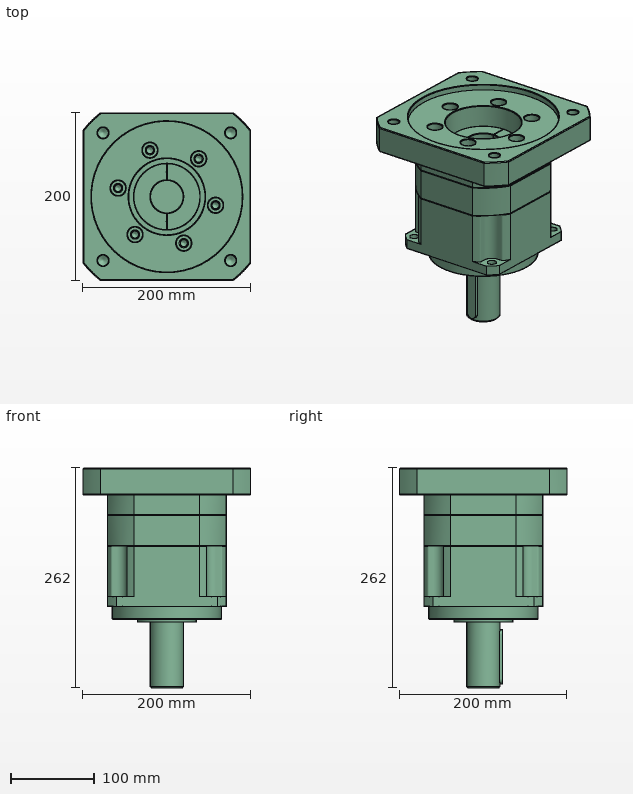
import cadquery as cq
import math

TOTAL_HEIGHT = 262.0
PLATE_THICKNESS = 32.0
PLATE_BOTTOM = TOTAL_HEIGHT - PLATE_THICKNESS
UPPER_JOINT = 206.5
LOWER_JOINT = 169.5
LEDGE_TOP = 109.0
FLANGE_BOTTOM = 97.5
PILOT_BOTTOM = 82.0
SEAL_BOTTOM = 78.5

PLATE_SIDE = 200.0
PLATE_CORNER_DIAMETER = 255.0
PLATE_CHAMFER = 1.0
RECESS_DIAMETER = 179.7
RECESS_DEPTH = 7.0
RECESS_FLOOR = TOTAL_HEIGHT - RECESS_DEPTH
RIM_CHAMFER = 0.8
MOTOR_BOLT_CIRCLE = 215.0
MOTOR_HOLE_DIAMETER = 12.8
MOTOR_HOLE_DEPTH = 23.5

SCREW_COUNT = 6
SCREW_START_ANGLE = 50.0
SCREW_CIRCLE = 118.0
SCREW_CLEARANCE = 11.0
SCREW_HEAD_DIAMETER = 17.8
SCREW_HEAD_DEPTH = 13.5
SCREW_TAP_DIAMETER = 8.5
SCREW_TAP_DEPTH = 15.7
DRILL_TIP_ANGLE = 118.0

BODY_SIDE = 142.0
BODY_CORNER_DIAMETER = 162.0
JOINT_CHAMFER = 0.5
CAVITY_DIAMETER = 91.0

FLANGE_CORNER_DIAMETER = 186.0
MOUNT_BOLT_CIRCLE = 165.5
MOUNT_HOLE_DIAMETER = 11.0
RELIEF_RADIUS = 11.3
RELIEF_EDGE_RADIUS = 2.4
PILOT_DIAMETER = 130.5
PILOT_CHAMFER = 0.8
SEAL_DIAMETER = 70.5

ACCESS_OFFSET = 31.5
ACCESS_HEIGHT = 221.0
ACCESS_DIAMETER = 9.0
ACCESS_CHAMFER = 1.5

HUB_COLLAR_DIAMETER = 79.6
HUB_COLLAR_THICKNESS = 4.7
HUB_BODY_DIAMETER = 58.7
HUB_TOP = 231.0
HUB_BORE_DIAMETER = 38.8
HUB_BASE_THICKNESS = 5.2
HUB_CHAMFER = 0.5
SLIT_WIDTH = 1.0
SLIT_DEPTH = 47.2

SHAFT_DIAMETER = 40.0
SHAFT_CHAMFER = 2.0
KEY_WIDTH = 12.0
KEY_BOTTOM = 4.7
KEY_LENGTH = 65.0
KEY_TOP_OFFSET = 23.0


def cylinder(diameter, bottom, top):
    """Upright cylinder on the Z axis."""
    return cq.Workplane("XY").workplane(offset=bottom).circle(diameter / 2).extrude(top - bottom)


def rounded_square(side, corner_diameter, bottom, top):
    """Square prism whose corners are turned to a common diameter."""
    square = cq.Workplane("XY").workplane(offset=bottom).rect(side, side).extrude(top - bottom)
    return square.intersect(cylinder(corner_diameter, bottom, top))


def corner_points(bolt_circle):
    """Four points on the diagonals of the square."""
    offset = bolt_circle / 2 * math.cos(math.radians(45))
    return [(x * offset, y * offset) for x in (-1, 1) for y in (-1, 1)]


def screw_points():
    """Evenly spaced points of the adapter screws."""
    angles = [math.radians(SCREW_START_ANGLE + i * 360 / SCREW_COUNT) for i in range(SCREW_COUNT)]
    return [(SCREW_CIRCLE / 2 * math.cos(a), SCREW_CIRCLE / 2 * math.sin(a)) for a in angles]


def cylinders_at(points, diameter, bottom, top):
    """Upright cylinders at several points."""
    base = cq.Workplane("XY").workplane(offset=bottom).pushPoints(points)
    return base.circle(diameter / 2).extrude(top - bottom)


def cones_at(points, bottom_diameter, top_diameter, bottom, top):
    """Upright cones at several points."""
    cone = cq.Solid.makeCone(bottom_diameter / 2, top_diameter / 2, top - bottom)
    return cq.Workplane("XY").newObject([cone.translate(cq.Vector(x, y, bottom)) for x, y in points])


def cut_rims(body, points, diameter, top):
    """Break the upper rims of round holes."""
    cones = cones_at(points, diameter, diameter + 2 * RIM_CHAMFER, top - RIM_CHAMFER, top)
    return cut_all(body, cones)


def cut_blind_holes(body, points, diameter, top, depth):
    """Drill blind holes that end in a conical drill tip."""
    bottom = top - depth
    tip_height = diameter / 2 / math.tan(math.radians(DRILL_TIP_ANGLE / 2))
    body = body.cut(cylinders_at(points, diameter, bottom, top))
    return cut_all(body, cones_at(points, 0, diameter, bottom - tip_height, bottom))


def cut_all(body, tools):
    """Remove every solid of a workplane from the body."""
    for tool in tools.vals():
        body = body.cut(cq.Workplane(tool))
    return body


def body_length(bottom, top):
    """One length of the square body."""
    return rounded_square(BODY_SIDE, BODY_CORNER_DIAMETER, bottom, top)


def make_access_drill():
    """Tool for the hole in the -X side that reaches the hub cavity, with a chamfered mouth."""
    face = cq.Workplane("YZ").workplane(offset=-BODY_SIDE / 2).center(ACCESS_OFFSET, ACCESS_HEIGHT)
    drill = face.circle(ACCESS_DIAMETER / 2).extrude(BODY_SIDE / 2)
    mouth = cq.Solid.makeCone(
        ACCESS_DIAMETER / 2 + ACCESS_CHAMFER,
        ACCESS_DIAMETER / 2,
        ACCESS_CHAMFER,
        cq.Vector(-BODY_SIDE / 2, ACCESS_OFFSET, ACCESS_HEIGHT),
        cq.Vector(1, 0, 0),
    )
    return drill.union(cq.Workplane(mouth))


def make_adapter():
    """Square plate and neck with the motor recess, hub cavity, bolt holes and access hole."""
    axis = [(0, 0)]
    motor_points = corner_points(MOTOR_BOLT_CIRCLE)
    head_seat = RECESS_FLOOR - SCREW_HEAD_DEPTH
    plate = rounded_square(PLATE_SIDE, PLATE_CORNER_DIAMETER, PLATE_BOTTOM, TOTAL_HEIGHT)
    plate = plate.faces("<Z or >Z").chamfer(PLATE_CHAMFER)
    neck = body_length(UPPER_JOINT, PLATE_BOTTOM).faces("<Z").chamfer(JOINT_CHAMFER)
    adapter = plate.union(neck)
    adapter = adapter.cut(cylinder(RECESS_DIAMETER, RECESS_FLOOR, TOTAL_HEIGHT))
    adapter = cut_rims(adapter, axis, RECESS_DIAMETER, TOTAL_HEIGHT)
    adapter = adapter.cut(cylinder(CAVITY_DIAMETER, UPPER_JOINT, RECESS_FLOOR))
    adapter = cut_rims(adapter, axis, CAVITY_DIAMETER, RECESS_FLOOR)
    adapter = cut_blind_holes(adapter, motor_points, MOTOR_HOLE_DIAMETER, TOTAL_HEIGHT, MOTOR_HOLE_DEPTH)
    adapter = cut_rims(adapter, motor_points, MOTOR_HOLE_DIAMETER, TOTAL_HEIGHT)
    adapter = adapter.cut(cylinders_at(screw_points(), SCREW_CLEARANCE, UPPER_JOINT, RECESS_FLOOR))
    adapter = adapter.cut(cylinders_at(screw_points(), SCREW_HEAD_DIAMETER, head_seat, RECESS_FLOOR))
    adapter = cut_rims(adapter, screw_points(), SCREW_HEAD_DIAMETER, RECESS_FLOOR)
    return adapter.cut(make_access_drill())


def make_ring_gear():
    """Square outer ring between adapter and output housing, with tapped holes for the screws."""
    ring = body_length(LOWER_JOINT, UPPER_JOINT).faces("<Z or >Z").chamfer(JOINT_CHAMFER)
    ring = ring.cut(cylinder(CAVITY_DIAMETER, LOWER_JOINT, UPPER_JOINT))
    return cut_blind_holes(ring, screw_points(), SCREW_TAP_DIAMETER, UPPER_JOINT, SCREW_TAP_DEPTH)


def make_relieved_length():
    """Upper length of the output housing, cut back at each corner to clear a mounting bolt."""
    wall = MOUNT_BOLT_CIRCLE / 2 * math.cos(math.radians(45)) - RELIEF_RADIUS
    wall_end = math.sqrt((BODY_CORNER_DIAMETER / 2) ** 2 - wall**2)
    length = body_length(LEDGE_TOP, LOWER_JOINT)
    for x, y in [(-1, -1), (-1, 1), (1, -1), (1, 1)]:
        middle = (LEDGE_TOP + LOWER_JOINT) / 2
        relief = (
            cq.Workplane("XY")
            .workplane(offset=LEDGE_TOP)
            .center(x * (wall + BODY_SIDE / 2), y * (wall + BODY_SIDE / 2))
            .rect(BODY_SIDE, BODY_SIDE)
            .extrude(LOWER_JOINT - LEDGE_TOP)
        )
        inner_edge = cq.selectors.NearestToPointSelector((x * wall, y * wall, middle))
        length = length.cut(relief.edges("|Z").edges(inner_edge).fillet(RELIEF_RADIUS))
        for edge_x, edge_y in [(wall, wall_end), (wall_end, wall)]:
            outer_edge = cq.selectors.NearestToPointSelector((x * edge_x, y * edge_y, middle))
            length = length.edges("|Z").edges(outer_edge).fillet(RELIEF_EDGE_RADIUS)
    chamfered = body_length(LEDGE_TOP, LOWER_JOINT).faces(">Z").chamfer(JOINT_CHAMFER)
    return length.intersect(chamfered)


def make_mounting_end():
    """Mounting flange with its bolt holes, centring pilot and seal boss."""
    flange = rounded_square(BODY_SIDE, FLANGE_CORNER_DIAMETER, FLANGE_BOTTOM, LEDGE_TOP)
    flange = flange.cut(
        cylinders_at(corner_points(MOUNT_BOLT_CIRCLE), MOUNT_HOLE_DIAMETER, FLANGE_BOTTOM, LEDGE_TOP)
    )
    pilot = cylinder(PILOT_DIAMETER, PILOT_BOTTOM, FLANGE_BOTTOM).faces("<Z").chamfer(PILOT_CHAMFER)
    return flange.union(pilot).union(cylinder(SEAL_DIAMETER, SEAL_BOTTOM, PILOT_BOTTOM))


def make_clamping_hub():
    """Collared round hub on the output housing, bored for the motor shaft and slit on both sides."""
    bore_floor = LOWER_JOINT + HUB_BASE_THICKNESS
    collar = cylinder(HUB_COLLAR_DIAMETER, HUB_TOP - HUB_COLLAR_THICKNESS, HUB_TOP)
    collar = collar.faces(">Z").chamfer(HUB_CHAMFER)
    hub = cylinder(HUB_BODY_DIAMETER, LOWER_JOINT, HUB_TOP - HUB_COLLAR_THICKNESS).union(collar)
    hub = hub.cut(cylinder(HUB_BORE_DIAMETER, bore_floor, HUB_TOP))
    hub = cut_rims(hub, [(0, 0)], HUB_BORE_DIAMETER, HUB_TOP)
    slit = cq.Workplane("XY").workplane(offset=HUB_TOP).rect(SLIT_WIDTH, HUB_COLLAR_DIAMETER)
    return hub.cut(slit.extrude(-SLIT_DEPTH))


def make_shaft_end():
    """Output shaft end with a round-ended key on its +Y side."""
    shaft = cylinder(SHAFT_DIAMETER, 0, SEAL_BOTTOM).faces("<Z").chamfer(SHAFT_CHAMFER)
    key = (
        cq.Workplane("XZ")
        .center(0, KEY_BOTTOM + KEY_LENGTH / 2)
        .slot2D(KEY_LENGTH, KEY_WIDTH, 90)
        .extrude(-KEY_TOP_OFFSET)
    )
    return shaft.union(key)


def make_output_housing():
    """Output end in one piece: relieved length, mounting end and keyed shaft."""
    return make_relieved_length().union(make_mounting_end()).union(make_shaft_end())


adapter = make_adapter()
ring_gear = make_ring_gear()
output_housing = make_output_housing()
clamping_hub = make_clamping_hub()

bodies = [adapter, ring_gear, output_housing, clamping_hub]
result = cq.Compound.makeCompound([body.solids().val() for body in bodies])